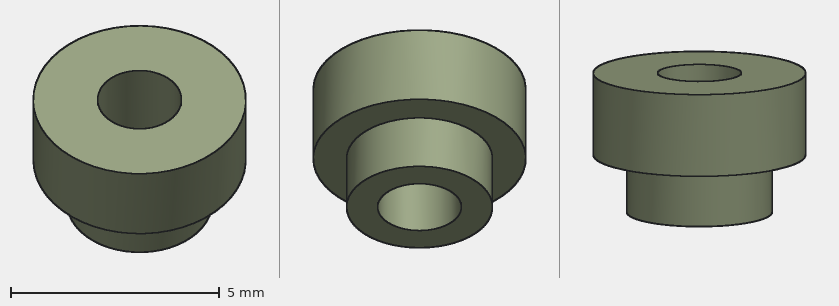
import cadquery as cq

head_diameter = 5.1
head_height = 2.0
shank_diameter = 3.5
shank_height = 1.4
bore_diameter = 2.01


def make_body():
    """Shank standing on Z = 0 with the head on top of it."""
    shank = cq.Workplane("XY").circle(shank_diameter / 2).extrude(shank_height)
    return shank.faces(">Z").workplane().circle(head_diameter / 2).extrude(head_height)


def cut_bore(body):
    """Plain bore along the axis, through head and shank."""
    return body.faces(">Z").workplane().circle(bore_diameter / 2).cutThruAll()


result = cut_bore(make_body())